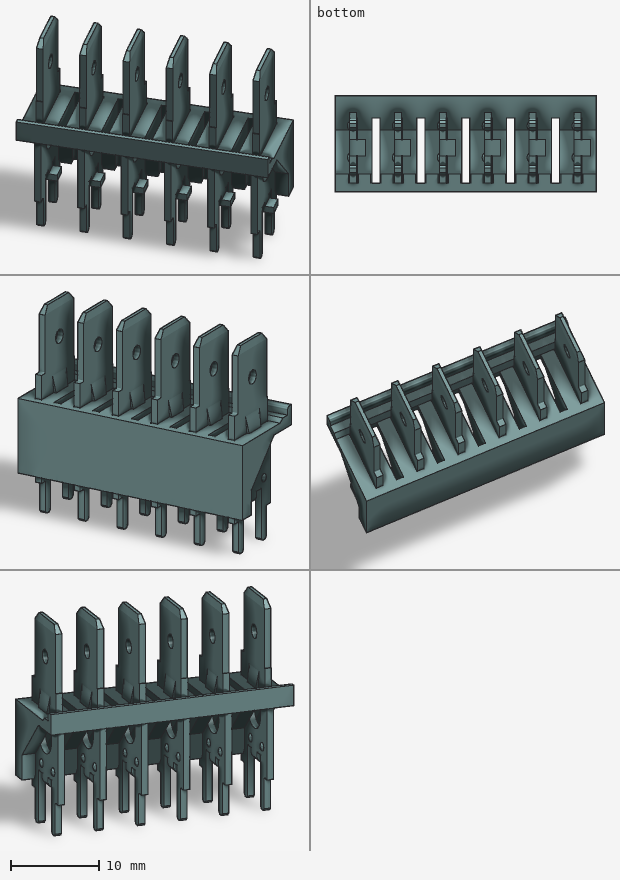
import cadquery as cq


TERMINAL_COUNT = 6
PITCH = 5.08
row_positions = [(i - (TERMINAL_COUNT - 1) / 2) * PITCH for i in range(TERMINAL_COUNT)]
vent_positions = [x + PITCH / 2 for x in row_positions[:-1]]

HOUSING_LENGTH = 29.52
HOUSING_BACK = 5.0
HOUSING_FRONT = -5.9
HOUSING_TOP = 9.03
WALL_FRONT = 2.98
BRACE_BOTTOM = 3.0
SHELF_BOTTOM = 8.03
BRACE_FRONT = WALL_FRONT - (SHELF_BOTTOM - BRACE_BOTTOM)
RAMP_BACK = -3.37
RAMP_FRONT = -3.95
RAIL_STEP = 9.48
RAIL_TOP = 10.48
RAIL_BACK = -5.0
RAIL_RADIUS = 0.47

SLOT_WIDTH = 0.9
SLOT_BACK = 3.99
SLOT_FRONT = RAMP_BACK
SLOT_FLARE = 0.15
SLOT_FLARE_HEIGHT = 0.5

THICKNESS = 0.8
TIP_TOP = 19.93
TIP_HEIGHT = 0.95
TIP_THICKNESS = 0.45
BLADE_HALF = 3.2
TIP_HALF = 2.33
SHOULDER_TOP = 11.95
BODY_BACK = SLOT_BACK
NECK_FRONT = -3.3
BODY_FRONT = -3.99
BODY_TOP = 7.97
BODY_CHAMFER = 0.18
BODY_BOTTOM = -1.1
PIN_OUTER = 3.07
PIN_INNER = 1.98
PIN_BOTTOM = -5.08
PIN_CHAMFER = 0.3
CROTCH = 1.3
CORNER_RADIUS = 0.18

BLADE_HOLE_DIAMETER = 1.65
BLADE_HOLE_HEIGHT = 15.4
BODY_HOLE_DIAMETER = 4.0
BODY_HOLE_HEIGHT = 5.93
LATCH_TOP = 11.07
LATCH_TOP_HALF = 1.54
LATCH_BOTTOM_HALF = 1.3
LATCH_REACH = 0.32
FOOT_HALF = 0.92
FOOT_REACH = 1.83
DIMPLE_RADIUS = 0.5
DIMPLE_RISE = 0.25
DIMPLE_HEIGHT = 2.42
DIMPLE_POSITIONS = [1.1, -2.48]

PLATE_LEFT = -SLOT_WIDTH / 2
PLATE_RIGHT = PLATE_LEFT + THICKNESS


def extrude_along_x(outline, x_start, x_end):
    """Extrude a closed wire, drawn in Y and Z, from x_start to x_end."""
    return outline.extrude(x_end - x_start).translate((x_start, 0, 0))


def make_slot(x):
    """Vertical slot through the housing, with its sides flared at the bottom."""
    half = SLOT_WIDTH / 2
    return (
        cq.Workplane("XZ")
        .moveTo(x - half - SLOT_FLARE, 0)
        .lineTo(x + half + SLOT_FLARE, 0)
        .lineTo(x + half, SLOT_FLARE_HEIGHT)
        .lineTo(x + half, HOUSING_TOP)
        .lineTo(x - half, HOUSING_TOP)
        .lineTo(x - half, SLOT_FLARE_HEIGHT)
        .close()
        .extrude(SLOT_BACK - SLOT_FRONT)
        .translate((0, SLOT_BACK, 0))
    )


def make_housing():
    profile = cq.Workplane("YZ").polyline([
        (HOUSING_BACK, 0),
        (HOUSING_BACK, HOUSING_TOP),
        (RAMP_BACK, HOUSING_TOP),
        (RAMP_FRONT, RAIL_STEP),
        (RAIL_BACK, RAIL_STEP),
        (RAIL_BACK, RAIL_TOP),
        (HOUSING_FRONT, RAIL_TOP),
        (HOUSING_FRONT, SHELF_BOTTOM),
        (BRACE_FRONT, SHELF_BOTTOM),
        (WALL_FRONT, BRACE_BOTTOM),
        (WALL_FRONT, 0),
    ]).close()
    housing = extrude_along_x(profile, -HOUSING_LENGTH / 2, HOUSING_LENGTH / 2)
    housing = housing.edges(cq.NearestToPointSelector((0, RAIL_BACK, RAIL_TOP))).fillet(RAIL_RADIUS)
    for x in row_positions + vent_positions:
        housing = housing.cut(make_slot(x))
    return housing


def make_plate():
    """Flat outline of the terminal: blade at the top, body in the middle, two pins below."""
    outline = cq.Workplane("YZ").polyline([
        (TIP_HALF, TIP_TOP),
        (BLADE_HALF, TIP_TOP - TIP_HEIGHT),
        (BLADE_HALF, SHOULDER_TOP),
        (BODY_BACK, SHOULDER_TOP),
        (BODY_BACK, BODY_BOTTOM),
        (PIN_OUTER, BODY_BOTTOM),
        (PIN_OUTER, PIN_BOTTOM),
        (PIN_INNER, PIN_BOTTOM),
        (PIN_INNER, CROTCH),
        (-PIN_INNER, CROTCH),
        (-PIN_INNER, PIN_BOTTOM),
        (-PIN_OUTER, PIN_BOTTOM),
        (-PIN_OUTER, BODY_BOTTOM),
        (BODY_FRONT, BODY_BOTTOM),
        (BODY_FRONT, BODY_TOP),
        (NECK_FRONT, BODY_TOP),
        (NECK_FRONT, SHOULDER_TOP),
        (-BLADE_HALF, SHOULDER_TOP),
        (-BLADE_HALF, TIP_TOP - TIP_HEIGHT),
        (-TIP_HALF, TIP_TOP),
    ]).close()
    plate = extrude_along_x(outline, PLATE_LEFT, PLATE_RIGHT)
    middle = PLATE_LEFT + THICKNESS / 2
    inner_corners = [(BLADE_HALF, SHOULDER_TOP), (PIN_OUTER, BODY_BOTTOM), (-PIN_OUTER, BODY_BOTTOM)]
    for y, z in inner_corners:
        plate = plate.edges(cq.NearestToPointSelector((middle, y, z))).fillet(CORNER_RADIUS)
    plate = plate.edges(cq.NearestToPointSelector((middle, BODY_FRONT, BODY_TOP))).chamfer(BODY_CHAMFER)
    return plate.faces("<Z").edges("|X").chamfer(PIN_CHAMFER)


def make_tapered_bar():
    """Bar the size of the plate whose thickness tapers at the top."""
    middle = PLATE_LEFT + THICKNESS / 2
    return (
        cq.Workplane("XZ")
        .polyline([
            (PLATE_LEFT, PIN_BOTTOM),
            (PLATE_RIGHT, PIN_BOTTOM),
            (PLATE_RIGHT, TIP_TOP - TIP_HEIGHT),
            (middle + TIP_THICKNESS / 2, TIP_TOP),
            (middle - TIP_THICKNESS / 2, TIP_TOP),
            (PLATE_LEFT, TIP_TOP - TIP_HEIGHT),
        ])
        .close()
        .extrude(BODY_BACK - BODY_FRONT)
        .translate((0, BODY_BACK, 0))
    )


def make_hole(diameter, height):
    outline = cq.Workplane("YZ").center(0, height).circle(diameter / 2)
    return extrude_along_x(outline, PLATE_LEFT, PLATE_RIGHT)


def make_latch():
    """Wedge that leans out of the plate and ends on top of the housing."""
    wedge = (
        cq.Workplane("XZ")
        .polyline([
            (PLATE_LEFT, LATCH_TOP),
            (PLATE_LEFT, HOUSING_TOP),
            (PLATE_LEFT - LATCH_REACH, HOUSING_TOP),
        ])
        .close()
        .extrude(LATCH_TOP_HALF, both=True)
    )
    outline = cq.Workplane("YZ").polyline([
        (LATCH_TOP_HALF, LATCH_TOP),
        (LATCH_BOTTOM_HALF, HOUSING_TOP),
        (-LATCH_BOTTOM_HALF, HOUSING_TOP),
        (-LATCH_TOP_HALF, LATCH_TOP),
    ]).close()
    return wedge.intersect(extrude_along_x(outline, PLATE_LEFT - LATCH_REACH, PLATE_LEFT))


def make_foot():
    """Tongue between the pins, bent towards +X at the bottom of the housing."""
    return (
        cq.Workplane("XZ")
        .moveTo(PLATE_LEFT, CROTCH)
        .lineTo(PLATE_LEFT, THICKNESS)
        .radiusArc((PLATE_RIGHT, 0), -THICKNESS)
        .lineTo(PLATE_LEFT + FOOT_REACH, 0)
        .lineTo(PLATE_LEFT + FOOT_REACH, THICKNESS)
        .lineTo(PLATE_RIGHT, THICKNESS)
        .lineTo(PLATE_RIGHT, CROTCH)
        .close()
        .extrude(FOOT_HALF, both=True)
    )


def make_dimple(y):
    """Shallow spherical bump on the -X face of the plate."""
    sphere_radius = (DIMPLE_RADIUS**2 + DIMPLE_RISE**2) / (2 * DIMPLE_RISE)
    half_profile = (
        cq.Workplane("XY")
        .moveTo(PLATE_LEFT - DIMPLE_RISE, 0)
        .radiusArc((PLATE_LEFT, DIMPLE_RADIUS), sphere_radius)
        .lineTo(PLATE_LEFT, 0)
        .close()
    )
    cap = half_profile.revolve(360, (0, 0, 0), (1, 0, 0))
    return cap.translate((0, y, DIMPLE_HEIGHT))


def make_terminal():
    """One terminal, in a slot centred on X = 0."""
    terminal = make_plate().intersect(make_tapered_bar())
    terminal = terminal.cut(make_hole(BLADE_HOLE_DIAMETER, BLADE_HOLE_HEIGHT))
    terminal = terminal.cut(make_hole(BODY_HOLE_DIAMETER, BODY_HOLE_HEIGHT))
    terminal = terminal.union(make_latch()).union(make_foot())
    for y in DIMPLE_POSITIONS:
        terminal = terminal.union(make_dimple(y))
    return terminal


housing = make_housing()
terminals = [make_terminal().translate((x, 0, 0)) for x in row_positions]
result = cq.Compound.makeCompound([housing.val(), *[terminal.solids().val() for terminal in terminals]])